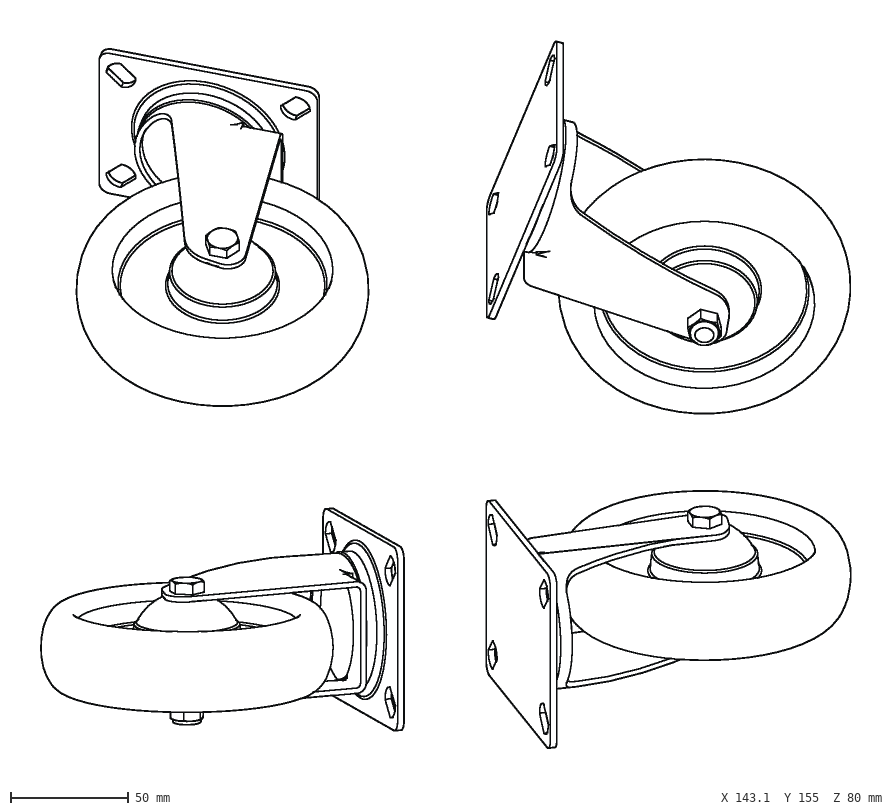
import cadquery as cq
import math


PLATE_LENGTH = 97.0
PLATE_WIDTH = 80.0
PLATE_THICKNESS = 3.0
PLATE_CORNER_RADIUS = 5.0
SLOT_X = 38.8
SLOT_Z = 28.7
SLOT_WIDTH = 9.0
SLOT_END_RADIUS = 6.2
SLOT_LENGTH = 13.3

RACE_FOOT_RADIUS = 34.1
RACE_EDGE_RADIUS = 32.9
RACE_EDGE_DEPTH = 3.5
RACE_ROUND_MIDDLE = (32.0, 4.8)
RACE_TIP_DEPTH = 5.7

RING_RADIUS = 29.6
RING_END_DEPTH = 10.2

SHEET = 2.3
SKIRT_RADIUS = 29.1
SKIRT_TOP_FILLET = 1.5
SKIRT_END_DEPTH = 15.5
CROWN_UNDERSIDE_DEPTH = 11.6
LEG_OUTER_Z = 24.3
SHELF_DEPTH = 12.7
SHELF_THICKNESS = 2.6
SHELF_END_X = 36.0
BEND_RADIUS = 4.3
SHELF_BEND_RADIUS = 2.0
JUNCTION_RADIUS = 9.3
SKIRT_CURVE_RADIUS = 12.4
LEG_FRONT_RADIUS = 15.5
LEG_BACK_RADIUS = 7.8
SLANT_TOP_X = -13.3
LEG_FRONT_TIP = (18.1, 100.3)
LEG_BACK_TIP = (43.9, 105.0)
FORK_REACH = 108.5

OVERALL_DEPTH = 155.0
AXLE_X = 32.1
WHEEL_RADIUS = 62.5
TYRE_HALF_WIDTH = 17.5
TYRE_SHOULDER_RADIUS = 53.5
RIM_RADIUS = 47.1
DISC_RADIUS = 44.6
DISC_HALF_THICKNESS = 2.3
DISC_BEVEL = 1.0
HUB_BASE_RADIUS = 23.4
HUB_TOP_RADIUS = 22.6
HUB_HALF_LENGTH = 10.0
DOME_FOOT_Z = 10.8
DOME_RADIUS = 24.2

BOLT_RADIUS = 4.0
HEX_ACROSS_FLATS = 13.0
HEX_CHAMFER_ANGLE = 30
HEAD_HEIGHT = 5.0
NUT_HEX_HEIGHT = 6.7
COLLAR_RADIUS = 6.0
COLLAR_HEIGHT = 1.7
COLLAR_ROUND = 0.6

axle_depth = OVERALL_DEPTH - WHEEL_RADIUS
skirt_inner_radius = SKIRT_RADIUS - SHEET
leg_inner_z = LEG_OUTER_Z - SHEET
rim_half_width = TYRE_HALF_WIDTH - (TYRE_SHOULDER_RADIUS - RIM_RADIUS)
hex_across_corners = HEX_ACROSS_FLATS / math.cos(math.radians(30))


def at_depth(depth):
    """Plane parallel to the mounting face, with local axes X and Z, extruding towards -Y."""
    return cq.Workplane("XZ", origin=(0, -depth, 0))


def place_on_axle(body):
    """Move a body turned about the Z axis onto the axle."""
    return body.translate((AXLE_X, -axle_depth, 0))


def axle_hole():
    """Cylinder along the axle, for the holes that the bolt passes through."""
    hole = cq.Workplane("XY").circle(BOLT_RADIUS).extrude(FORK_REACH, both=True)
    return place_on_axle(hole)


def turn_about_z(profile):
    """Revolve a radius-height profile, drawn in the XZ plane, about the Z axis."""
    return profile.revolve(360, (0, 0, 0), (0, 1, 0))


def make_plate():
    """Rounded plate with four slots and the race standing out below it."""
    plate = at_depth(0).rect(PLATE_LENGTH, PLATE_WIDTH).extrude(PLATE_THICKNESS)
    plate = plate.edges("|Y").fillet(PLATE_CORNER_RADIUS)

    half_width = SLOT_WIDTH / 2
    end_rise = SLOT_END_RADIUS - math.sqrt(SLOT_END_RADIUS**2 - half_width**2)
    tip = SLOT_LENGTH / 2
    shoulder = tip - end_rise
    for side_x in (-1, 1):
        for side_z in (-1, 1):
            slot = (
                at_depth(0)
                .moveTo(-shoulder, -half_width)
                .lineTo(shoulder, -half_width)
                .threePointArc((tip, 0), (shoulder, half_width))
                .lineTo(-shoulder, half_width)
                .threePointArc((-tip, 0), (-shoulder, -half_width))
                .close()
                .extrude(PLATE_THICKNESS)
                .rotate((0, 0, 0), (0, 1, 0), -45 * side_x * side_z)
            )
            plate = plate.cut(slot.translate((side_x * SLOT_X, 0, side_z * SLOT_Z)))

    race = (
        cq.Workplane("XY")
        .moveTo(0, -PLATE_THICKNESS)
        .lineTo(RACE_FOOT_RADIUS, -PLATE_THICKNESS)
        .lineTo(RACE_EDGE_RADIUS, -RACE_EDGE_DEPTH)
        .threePointArc(
            (RACE_ROUND_MIDDLE[0], -RACE_ROUND_MIDDLE[1]), (RING_RADIUS, -RACE_TIP_DEPTH)
        )
        .lineTo(0, -RACE_TIP_DEPTH)
        .close()
        .revolve(360, (0, 0, 0), (0, 1, 0))
    )
    return plate.union(race)


def make_ring():
    """Plain disc between the race and the fork."""
    return at_depth(RACE_TIP_DEPTH).circle(RING_RADIUS).extrude(RING_END_DEPTH - RACE_TIP_DEPTH)


def leg_block(half_width, top_depth, bend_radius):
    """Block between the legs' faces, rounded where the shelf bends down into the legs."""
    block = (
        at_depth(top_depth)
        .rect(FORK_REACH, 2 * half_width)
        .extrude(FORK_REACH - top_depth)
        .edges("|X and >Y")
        .fillet(bend_radius)
    )
    right_half = cq.Workplane("XY").box(FORK_REACH, 2 * FORK_REACH, FORK_REACH, centered=(False, True, True))
    return block.intersect(right_half)


def junction_fillers(radius, leg_z, fillet_radius, top_depth, overlap):
    """Pair of prisms that blend a cylinder into the flat leg faces with a concave round."""
    center_z = leg_z + fillet_radius
    reach = radius + fillet_radius
    center_x = math.sqrt(reach**2 - center_z**2)
    on_skirt = (center_x * radius / reach, center_z * radius / reach)
    half_turn = math.atan2(center_x, center_z) / 2
    middle = (
        center_x - fillet_radius * math.sin(half_turn),
        center_z - fillet_radius * math.cos(half_turn),
    )
    upper = (
        at_depth(top_depth)
        .moveTo(center_x, leg_z)
        .threePointArc(middle, on_skirt)
        .lineTo(on_skirt[0], leg_z - overlap)
        .lineTo(center_x, leg_z - overlap)
        .close()
        .extrude(FORK_REACH - top_depth)
    )
    width = center_x - on_skirt[0]
    mitre = (
        cq.Workplane("XY")
        .polyline([
            (on_skirt[0], -top_depth),
            (center_x, -top_depth),
            (on_skirt[0], -top_depth - width),
        ])
        .close()
        .extrude(FORK_REACH)
    )
    upper = upper.cut(mitre)
    return upper.union(upper.mirror("XY"))


def corner_fillet(outline, corner, radius):
    """Round the upright edge of the side outline at an (x, depth) corner."""
    nearest = cq.selectors.NearestToPointSelector((corner[0], -corner[1], 0))
    return outline.edges("|Z").edges(nearest).fillet(radius)


def fork_side_outline():
    """Side outline of the fork: skirt, slanted front, rounded leg tips and upright back."""
    outline = (
        cq.Workplane("XY", origin=(0, 0, -FORK_REACH / 2))
        .polyline([
            (-SKIRT_RADIUS, -RING_END_DEPTH),
            (SHELF_END_X, -RING_END_DEPTH),
            (SHELF_END_X, -SHELF_DEPTH - BEND_RADIUS),
            (LEG_BACK_TIP[0], -LEG_BACK_TIP[1]),
            (LEG_FRONT_TIP[0], -LEG_FRONT_TIP[1]),
            (SLANT_TOP_X, -SKIRT_END_DEPTH),
            (-SKIRT_RADIUS, -SKIRT_END_DEPTH),
        ])
        .close()
        .extrude(FORK_REACH)
    )
    outline = corner_fillet(outline, LEG_BACK_TIP, LEG_BACK_RADIUS)
    outline = corner_fillet(outline, LEG_FRONT_TIP, LEG_FRONT_RADIUS)
    return corner_fillet(outline, (SLANT_TOP_X, SKIRT_END_DEPTH), SKIRT_CURVE_RADIUS)


def make_fork():
    """Round skirt with a crown, running into two flat legs joined by a shelf."""
    skirt = at_depth(RING_END_DEPTH).circle(SKIRT_RADIUS).extrude(FORK_REACH - RING_END_DEPTH)
    skirt = skirt.faces(">Y").edges().fillet(SKIRT_TOP_FILLET)
    outside = skirt.union(leg_block(LEG_OUTER_Z, SHELF_DEPTH, BEND_RADIUS)).union(
        junction_fillers(SKIRT_RADIUS, LEG_OUTER_Z, JUNCTION_RADIUS, SHELF_DEPTH, BEND_RADIUS)
    )

    cavity_top = SHELF_DEPTH + SHELF_THICKNESS
    inside = (
        at_depth(CROWN_UNDERSIDE_DEPTH)
        .circle(skirt_inner_radius)
        .extrude(FORK_REACH - CROWN_UNDERSIDE_DEPTH)
        .union(leg_block(leg_inner_z, cavity_top, SHELF_BEND_RADIUS))
        .union(
            junction_fillers(
                skirt_inner_radius, leg_inner_z, JUNCTION_RADIUS + SHEET, cavity_top, SHELF_BEND_RADIUS
            )
        )
    )
    fork = outside.cut(inside).intersect(fork_side_outline())
    return fork.cut(axle_hole())


def make_tyre():
    """Tyre with an elliptical tread and rounded inner shoulders."""
    shoulder_round = TYRE_SHOULDER_RADIUS - RIM_RADIUS
    arc_inset = shoulder_round * (1 - math.sqrt(0.5))
    tread_rise = WHEEL_RADIUS - TYRE_SHOULDER_RADIUS
    upper_half = (
        cq.Workplane("XZ")
        .moveTo(RIM_RADIUS, 0)
        .lineTo(RIM_RADIUS, rim_half_width)
        .threePointArc(
            (RIM_RADIUS + arc_inset, TYRE_HALF_WIDTH - arc_inset),
            (TYRE_SHOULDER_RADIUS, TYRE_HALF_WIDTH),
        )
        .ellipseArc(
            TYRE_HALF_WIDTH, tread_rise, 270, 360, rotation_angle=90, startAtCurrent=True, sense=-1
        )
        .close()
    )
    upper_half = turn_about_z(upper_half)
    return place_on_axle(upper_half.union(upper_half.mirror("XY")))


def make_wheel_core():
    """Rim, thin disc and hub with a domed end on each side."""
    dome_foot_radius = math.sqrt(DOME_RADIUS**2 - DOME_FOOT_Z**2)
    dome_top_radius = math.sqrt(DOME_RADIUS**2 - leg_inner_z**2)
    middle_angle = (math.asin(DOME_FOOT_Z / DOME_RADIUS) + math.asin(leg_inner_z / DOME_RADIUS)) / 2
    upper_half = (
        cq.Workplane("XZ")
        .moveTo(BOLT_RADIUS, 0)
        .lineTo(RIM_RADIUS, 0)
        .lineTo(RIM_RADIUS, rim_half_width)
        .lineTo(DISC_RADIUS, DISC_HALF_THICKNESS + DISC_BEVEL)
        .lineTo(DISC_RADIUS - DISC_BEVEL, DISC_HALF_THICKNESS)
        .lineTo(HUB_BASE_RADIUS + DISC_BEVEL, DISC_HALF_THICKNESS)
        .lineTo(HUB_BASE_RADIUS, DISC_HALF_THICKNESS + DISC_BEVEL)
        .lineTo(HUB_TOP_RADIUS, HUB_HALF_LENGTH)
        .lineTo(dome_foot_radius, DOME_FOOT_Z)
        .threePointArc(
            (DOME_RADIUS * math.cos(middle_angle), DOME_RADIUS * math.sin(middle_angle)),
            (dome_top_radius, leg_inner_z),
        )
        .lineTo(BOLT_RADIUS, leg_inner_z)
        .close()
    )
    upper_half = turn_about_z(upper_half)
    return place_on_axle(upper_half.union(upper_half.mirror("XY")))


def chamfered_hex(height, corner_angle):
    """Hexagonal prism on Z = 0 whose upper corners are cut by a cone."""
    prism = cq.Workplane("XY").polygon(6, hex_across_corners).extrude(height)
    prism = prism.rotate((0, 0, 0), (0, 0, 1), corner_angle)
    corner_drop = (hex_across_corners - HEX_ACROSS_FLATS) / 2 * math.tan(math.radians(HEX_CHAMFER_ANGLE))
    cone = (
        cq.Workplane("XZ")
        .moveTo(0, 0)
        .lineTo(hex_across_corners / 2, 0)
        .lineTo(hex_across_corners / 2, height - corner_drop)
        .lineTo(HEX_ACROSS_FLATS / 2, height)
        .lineTo(0, height)
        .close()
    )
    return prism.intersect(turn_about_z(cone))


def make_bolt():
    """Hexagon bolt whose head rests on the upper leg."""
    shank_length = 2 * LEG_OUTER_Z + NUT_HEX_HEIGHT + COLLAR_HEIGHT
    head = chamfered_hex(HEAD_HEIGHT, 0)
    shank = cq.Workplane("XY").circle(BOLT_RADIUS).extrude(-shank_length)
    return place_on_axle(head.union(shank).translate((0, 0, LEG_OUTER_Z)))


def make_nut():
    """Lock nut below the lower leg: a hexagon with a round collar."""
    collar = (
        cq.Workplane("XY")
        .circle(COLLAR_RADIUS)
        .extrude(NUT_HEX_HEIGHT + COLLAR_HEIGHT)
        .faces(">Z")
        .edges()
        .fillet(COLLAR_ROUND)
    )
    nut = chamfered_hex(NUT_HEX_HEIGHT, 90).union(collar)
    nut = nut.rotate((0, 0, 0), (1, 0, 0), 180).translate((0, 0, -LEG_OUTER_Z))
    return place_on_axle(nut).cut(axle_hole())


plate = make_plate()
ring = make_ring()
fork = make_fork()
tyre = make_tyre()
wheel_core = make_wheel_core()
bolt = make_bolt()
nut = make_nut()

bodies = [plate, ring, fork, tyre, wheel_core, bolt, nut]
result = cq.Compound.makeCompound([body.solids().val() for body in bodies])